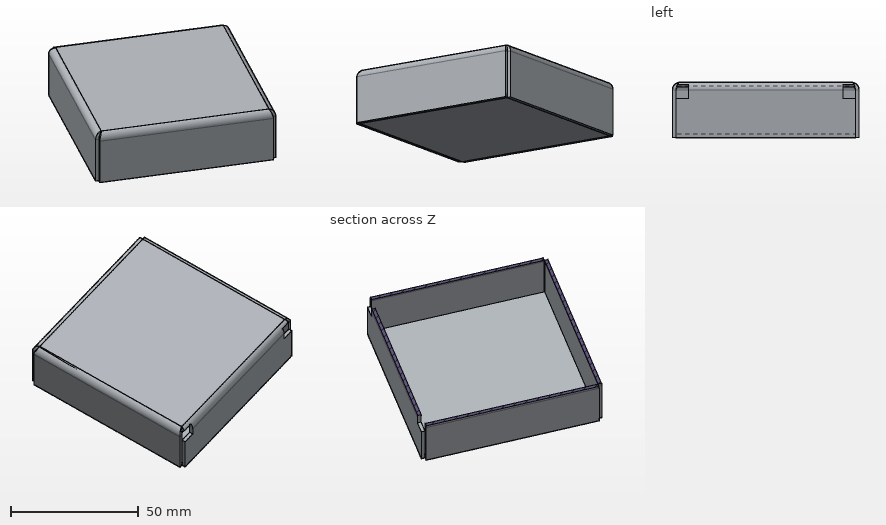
import cadquery as cq
import math

length = 74.0
width = 73.0
height = 21.75

sheet = 1.5
bend_radius = 3.0
x_wall_setback = 1.3
y_wall_setback = 1.55
bend_top_setback = 2.6
floor_drop = 0.15

notch_length = 5.0
notch_floor = 15.5
notch_bend_angle = 45.0

bend_start = height - bend_radius
inner_radius = bend_radius - sheet
mid_bend_sin = math.sin(math.radians(45))


def folded_channel(span, depth):
    """Top sheet with two walls folded down at x = +-span / 2, running along Y."""
    outer = (
        cq.Workplane("XY")
        .box(span, depth, height, centered=(True, True, False))
        .edges("|Y and >Z")
        .fillet(bend_radius)
    )
    inner = (
        cq.Workplane("XY")
        .box(span - 2 * sheet, depth, height - sheet, centered=(True, True, False))
        .edges("|Y and >Z")
        .fillet(inner_radius)
    )
    return outer.cut(inner)


def wall_outline(span, depth, setback):
    """Prism along X whose end edges narrow evenly around the bend angle."""
    wall_end = depth / 2 - setback
    top_end = depth / 2 - bend_top_setback
    mid_end = (wall_end + top_end) / 2
    mid_height = bend_start + bend_radius * mid_bend_sin
    return (
        cq.Workplane("YZ")
        .moveTo(-wall_end, floor_drop)
        .lineTo(wall_end, floor_drop)
        .lineTo(wall_end, bend_start)
        .threePointArc((mid_end, mid_height), (top_end, height))
        .lineTo(-top_end, height)
        .threePointArc((-mid_end, mid_height), (-wall_end, bend_start))
        .close()
        .extrude(span / 2, both=True)
    )


def folded_walls(span, depth, setback):
    """Pair of folded walls with the top sheet between them."""
    return folded_channel(span, depth).intersect(wall_outline(span, depth, setback))


def notch_cutter():
    """Wall opening whose upper face follows a radius of the bend."""
    bend_axis_x = -length / 2 + bend_radius
    outside_x = -length / 2 - sheet
    rise = (bend_axis_x - outside_x) * math.tan(math.radians(notch_bend_angle))
    return (
        cq.Workplane("XZ")
        .moveTo(outside_x, notch_floor)
        .lineTo(bend_axis_x, notch_floor)
        .lineTo(bend_axis_x, bend_start)
        .lineTo(outside_x, bend_start + rise)
        .close()
        .extrude(notch_length / 2, both=True)
    )


x_walls = folded_walls(length, width, x_wall_setback)
y_walls = folded_walls(width, length, y_wall_setback).rotate((0, 0, 0), (0, 0, 1), 90)

notch_offset = width / 2 - x_wall_setback - notch_length / 2
for side in (-1, 1):
    x_walls = x_walls.cut(notch_cutter().translate((0, side * notch_offset, 0)))

floor = cq.Workplane("XY").box(
    length - 2 * sheet, width - 2 * sheet, sheet, centered=(True, True, False)
)

result = x_walls.union(y_walls).union(floor)